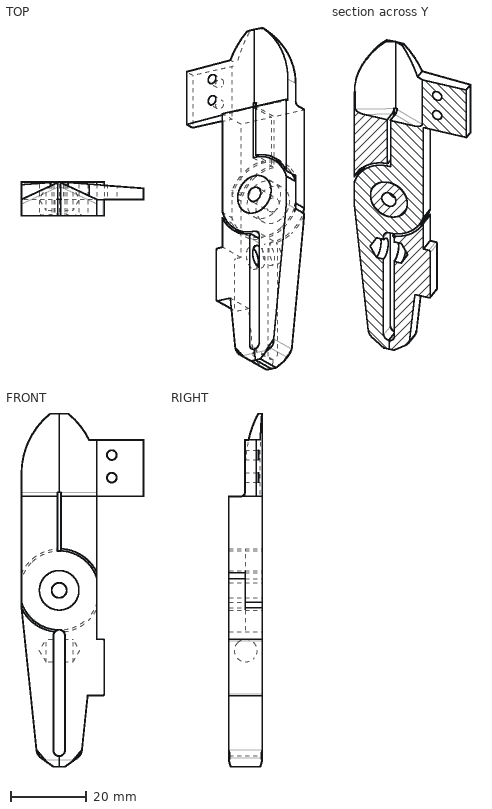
import cadquery as cq
import math


half_length = 47.0
half_width = 10.1
thickness = 9.0
front_y = -thickness / 2
back_y = thickness / 2
lap_y = -0.1

disc_radius = 10.5
recess_radius = 11.1
rivet_radius = 5.3
rivet_hole_radius = 2.0

shelf_z = 25.0
jaw_arc_start_z = 31.0
jaw_tip_half_width = 2.4
jaw_gap = 0.8
jaw_root_radius = 1.0
jaw_back_angle = 4.3
jaw_edge_y = -0.2

tab_end_x = 22.5
tab_top_z = 40.0
tab_hole_x = 14.0
tab_hole_zs = (30.0, 36.0)
tab_hole_diameter = 2.5

handle_taper = 6.0
handle_slot_width = 3.0
handle_slot_end_z = -44.1
tip_half_width = 1.5
tip_corner_z = -43.8
tip_corner_radius = 3.1
taper_start_z = -math.sqrt(recess_radius**2 - half_width**2)
tip_corner_x = half_width - (taper_start_z - tip_corner_z) * math.tan(math.radians(handle_taper))

tip_bevel_depth = 0.6
tip_bevel_z = -45.1
corner_bevel_upper = (6.1, -42.4)
corner_bevel_lower = (3.9, -45.0)
corner_bevel_slope = 0.7
corner_bevel_reach = 1.9

spring_pocket_radius = 3.0
spring_pocket_depth = 2.1
spring_pocket_point_angle = 118.0
spring_pocket_z = -16.0

stop_x = 12.0
stop_top_z = -13.0
stop_bottom_z = -28.0
stop_corner_radius = 0.5

oversize = 37.6


def slab(sketch, y_start, y_end):
    """Extrude an XZ outline between two Y positions."""
    return sketch.extrude(y_start - y_end).translate((0, y_start, 0))


def xz():
    return cq.Workplane("XZ")


def box_between(x0, x1, y0, y1, z0, z1):
    return cq.Workplane("XY").box(x1 - x0, y1 - y0, z1 - z0, centered=False).translate((x0, y0, z0))


def disc(radius, y_start, y_end):
    return slab(xz().circle(radius), y_start, y_end)


def jaw_blank():
    """Jaw on the +X side: straight flank, then an arc up to the narrow flat top."""
    run = half_width - jaw_tip_half_width
    rise = half_length - jaw_arc_start_z
    arc_radius = (run**2 + rise**2) / (2 * run)
    mid_angle = math.asin(rise / arc_radius) / 2
    arc_mid = (
        half_width - arc_radius * (1 - math.cos(mid_angle)),
        jaw_arc_start_z + arc_radius * math.sin(mid_angle),
    )
    outline = (
        xz()
        .moveTo(0, 0)
        .lineTo(half_width, 0)
        .lineTo(half_width, jaw_arc_start_z)
        .threePointArc(arc_mid, (jaw_tip_half_width, half_length))
        .lineTo(0, half_length)
        .close()
    )
    gap = box_between(0, jaw_gap / 2, front_y, back_y, 0, shelf_z + jaw_root_radius)
    return slab(outline, front_y, back_y).cut(gap)


def tab_blank():
    """Flat tab beside the +X jaw, together with the jaw area it fills."""
    tab = box_between(half_width, tab_end_x, jaw_edge_y, back_y, shelf_z, tab_top_z)
    root = box_between(jaw_tip_half_width, half_width, front_y, back_y, shelf_z, tab_top_z)
    return tab.union(root)


def jaw_front_cut():
    """Sloping relief in front of the +X jaw, with a rounded root at the shelf."""
    slope = (back_y - jaw_edge_y) / half_width
    wedge = (
        cq.Workplane("XY", origin=(0, 0, shelf_z))
        .moveTo(-half_width, back_y + slope * half_width)
        .lineTo(half_width, jaw_edge_y)
        .lineTo(half_width, -oversize)
        .lineTo(-half_width, -oversize)
        .close()
        .extrude(oversize)
    )
    return wedge.faces("<Z").edges(">Y").fillet(jaw_root_radius)


def jaw_back_cut():
    """Shallow slope on the back of the +X jaw and its tab."""
    drop = oversize * math.tan(math.radians(jaw_back_angle))
    return (
        cq.Workplane("XY", origin=(0, 0, shelf_z))
        .moveTo(0, back_y)
        .lineTo(oversize, back_y - drop)
        .lineTo(oversize, back_y)
        .close()
        .extrude(oversize)
    )


def tab_holes():
    points = [(tab_hole_x, z) for z in tab_hole_zs]
    return slab(xz().pushPoints(points).circle(tab_hole_diameter / 2), front_y, back_y)


def jaw(with_tab):
    """Complete +X jaw, reaching down to the rivet axis."""
    body = jaw_blank()
    if with_tab:
        body = body.union(tab_blank())
    body = body.cut(jaw_front_cut()).cut(jaw_back_cut())
    if with_tab:
        body = body.cut(tab_holes())
    return body


def handle_blank():
    """Tapering +X handle with a rounded corner near its tip."""
    outline = (
        xz()
        .moveTo(0, 0)
        .lineTo(half_width, 0)
        .lineTo(half_width, taper_start_z)
        .lineTo(tip_corner_x, tip_corner_z)
        .lineTo(tip_half_width, -half_length)
        .lineTo(0, -half_length)
        .close()
    )
    corner = cq.selectors.NearestToPointSelector((tip_corner_x, 0, tip_corner_z))
    return slab(outline, front_y, back_y).edges("|Y").edges(corner).fillet(tip_corner_radius)


def handle_slot():
    """Round-ended slot shared by the two handles, starting where the discs end."""
    top_z = -disc_radius
    length = top_z - handle_slot_end_z
    outline = xz().center(0, (top_z + handle_slot_end_z) / 2).slot2D(length, handle_slot_width, 90)
    return slab(outline, front_y, back_y)


def tip_bevel():
    """Wedge that thins the lower end of a handle at its front face."""
    return (
        cq.Workplane("YZ")
        .moveTo(front_y, tip_bevel_z)
        .lineTo(front_y + tip_bevel_depth, -half_length)
        .lineTo(front_y, -half_length)
        .close()
        .extrude(half_width)
    )


def corner_bevel():
    """Wedge that flattens the front edge of the rounded +X handle corner."""
    upper_x, upper_z = corner_bevel_upper
    lower_x, lower_z = corner_bevel_lower
    chord = cq.Vector(upper_x - lower_x, 0, upper_z - lower_z)
    chord_plane = cq.Plane(
        origin=((upper_x + lower_x) / 2, front_y, (upper_z + lower_z) / 2),
        xDir=(chord.z, 0, -chord.x),
        normal=chord.toTuple(),
    )
    depth = corner_bevel_reach * corner_bevel_slope
    return (
        cq.Workplane(chord_plane)
        .polyline([(0, 0), (corner_bevel_reach, 0), (corner_bevel_reach, depth)])
        .close()
        .extrude(chord.Length, both=True)
    )


def spring_pocket():
    """Drilled blind pocket along X, sunk into the inner wall of the +X handle."""
    edge_x = handle_slot_width / 2 + spring_pocket_depth
    point_length = spring_pocket_radius / math.tan(math.radians(spring_pocket_point_angle / 2))
    return (
        cq.Workplane("XY")
        .lineTo(0, spring_pocket_radius)
        .lineTo(edge_x, spring_pocket_radius)
        .lineTo(edge_x + point_length, 0)
        .close()
        .revolve(360, (0, 0), (1, 0))
        .translate((0, 0, spring_pocket_z))
    )


def handle_stop():
    """Block on the outer side of the +X handle."""
    stop = box_between(handle_slot_width / 2, stop_x, front_y, back_y, stop_bottom_z, stop_top_z)
    root = box_between(handle_slot_width / 2, half_width, front_y, back_y, stop_bottom_z, taper_start_z)
    return stop.edges("|Y and >X").fillet(stop_corner_radius).union(root)


def handle(with_stop):
    """Complete +X handle, reaching up to the rivet axis."""
    body = handle_blank()
    for bevel in (tip_bevel(), corner_bevel()):
        body = body.cut(bevel).cut(bevel.mirror("XZ"))
    if with_stop:
        body = body.union(handle_stop())
    return body.cut(handle_slot()).cut(spring_pocket())


def join_half(upper, lower, disc_start_y, disc_end_y):
    """Join a jaw and the opposite handle through a disc that fills one side of the lap plane."""
    joint_disc = disc(disc_radius, disc_start_y, disc_end_y)
    width_limit = box_between(-half_width, half_width, front_y, back_y, -disc_radius, disc_radius)
    other_start, other_end = (lap_y, back_y) if disc_start_y == front_y else (front_y, lap_y)
    return (
        upper.union(lower)
        .union(joint_disc.intersect(width_limit))
        .cut(disc(recess_radius, other_start, other_end))
        .cut(disc(rivet_radius, front_y, back_y))
    )


def front_half():
    """-X jaw and +X handle, joined by the front disc."""
    return join_half(jaw(False).mirror("YZ"), handle(True), front_y, lap_y)


def back_half():
    """+X jaw with its tab and -X handle, joined by the back disc."""
    return join_half(jaw(True), handle(False).mirror("YZ"), lap_y, back_y)


def make_rivet():
    """Hollow rivet, flush with both faces."""
    return slab(xz().circle(rivet_radius).circle(rivet_hole_radius), front_y, back_y)


front_plier_half = front_half()
back_plier_half = back_half()
rivet = make_rivet()

result = cq.Compound.makeCompound([front_plier_half.solids().val(), back_plier_half.solids().val(), rivet.val()])